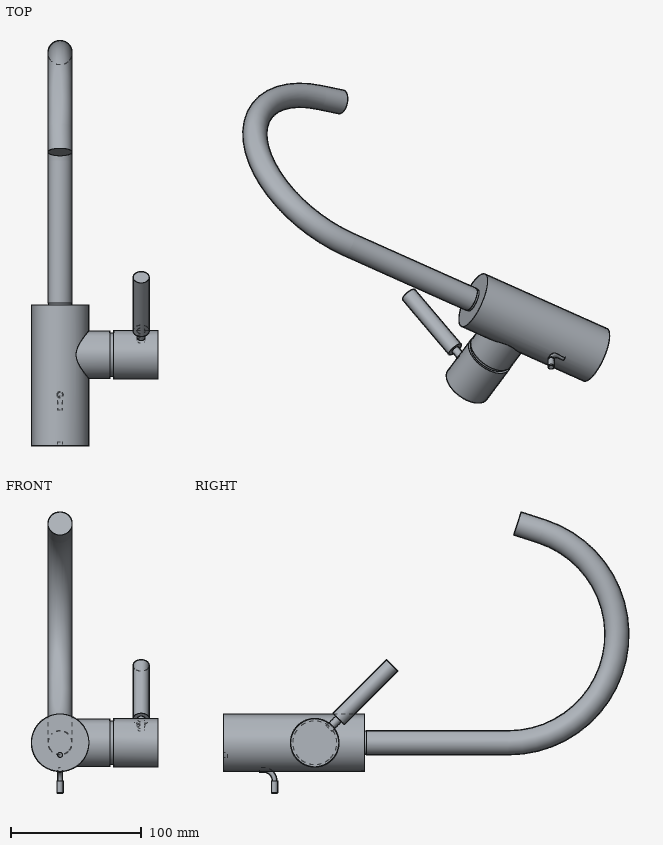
import cadquery as cq
import math

BARREL_RADIUS = 22.0
BARREL_LENGTH = 108.0
VALVE_Y = 69.7
BRANCH_RADIUS = 18.3
BRANCH_END_X = 38.0
INLET_HOLE_RADIUS = 2.0
INLET_HOLE_Z = -9.3
INLET_HOLE_DEPTH = 3.0

SPOUT_RADIUS = 9.3
SEAT_RADIUS = 9.0
SEAT_HEIGHT = 1.5
OVERALL_LENGTH = 310.0
BEND_RADIUS = 82.8
BEND_TOP_TILT = 18.0
OUTLET_LENGTH = 19.8

NECK_RADIUS = 16.7
CAP_RADIUS = 18.5
CAP_START_X = 41.0
CAP_END_X = 75.0

LEVER_X = 62.0
LEVER_TILT = 45.0
HANDLE_RADIUS = 6.2
HANDLE_START = 25.7
HANDLE_END = 83.7
STEM_RADIUS = 3.0
STEM_START = 15.5

DRAIN_Y = 39.0
DRAIN_TUBE_RADIUS = 2.0
DRAIN_BEND_RADIUS = 8.5
DRAIN_BEND_BOTTOM_Z = -29.0
DRAIN_INSERT_LENGTH = 3.0
SLEEVE_RADIUS = 2.5
SLEEVE_BOTTOM_Z = -38.7
SLEEVE_CHAMFER = 0.5


def cylinder(radius, length, start, direction):
    """Solid cylinder from a start point along a direction."""
    return cq.Workplane(cq.Solid.makeCylinder(radius, length, cq.Vector(*start), cq.Vector(*direction)))


def make_drain_tube():
    """Tube that runs forward out of the barrel's underside and bends down into the sleeve."""
    bend_top_z = DRAIN_BEND_BOTTOM_Z + DRAIN_BEND_RADIUS
    mid_offset = DRAIN_BEND_RADIUS * math.sqrt(0.5)
    bend_start_y = DRAIN_Y - DRAIN_BEND_RADIUS
    path = (
        cq.Workplane("YZ")
        .moveTo(bend_start_y - DRAIN_INSERT_LENGTH, bend_top_z)
        .lineTo(bend_start_y, bend_top_z)
        .threePointArc(
            (bend_start_y + mid_offset, DRAIN_BEND_BOTTOM_Z + mid_offset),
            (DRAIN_Y, DRAIN_BEND_BOTTOM_Z),
        )
    )
    profile_plane = cq.Plane((0, bend_start_y - DRAIN_INSERT_LENGTH, bend_top_z), (1, 0, 0), (0, 1, 0))
    return cq.Workplane(profile_plane).circle(DRAIN_TUBE_RADIUS).sweep(path)


def make_housing(drain_tube):
    """Barrel and side branch, with a small front hole and a recess for the drain tube."""
    barrel = cylinder(BARREL_RADIUS, BARREL_LENGTH, (0, 0, 0), (0, 1, 0))
    branch = cylinder(BRANCH_RADIUS, BRANCH_END_X, (0, VALVE_Y, 0), (1, 0, 0))
    inlet_hole = cylinder(INLET_HOLE_RADIUS, INLET_HOLE_DEPTH, (0, 0, INLET_HOLE_Z), (0, 1, 0))
    return barrel.union(branch).cut(inlet_hole).cut(drain_tube)


def make_seat_ring():
    """Narrow disc between the barrel and the spout."""
    return cylinder(SEAT_RADIUS, SEAT_HEIGHT, (0, BARREL_LENGTH, 0), (0, 1, 0))


def make_spout():
    """Round bar: straight run, long bend and short straight outlet."""
    start_y = BARREL_LENGTH + SEAT_HEIGHT
    bend_y = OVERALL_LENGTH - SPOUT_RADIUS - BEND_RADIUS
    tilt = math.radians(BEND_TOP_TILT)
    end_y = bend_y + BEND_RADIUS * math.sin(tilt)
    end_z = BEND_RADIUS * (1 + math.cos(tilt))
    path = (
        cq.Workplane("YZ")
        .moveTo(start_y, 0)
        .lineTo(bend_y, 0)
        .threePointArc((bend_y + BEND_RADIUS, BEND_RADIUS), (end_y, end_z))
        .lineTo(end_y - OUTLET_LENGTH * math.cos(tilt), end_z + OUTLET_LENGTH * math.sin(tilt))
    )
    profile_plane = cq.Plane((0, start_y, 0), (1, 0, 0), (0, 1, 0))
    return cq.Workplane(profile_plane).circle(SPOUT_RADIUS).sweep(path)


def make_neck_ring():
    """Narrow disc between the side branch and the valve cap."""
    return cylinder(NECK_RADIUS, CAP_START_X - BRANCH_END_X, (BRANCH_END_X, VALVE_Y, 0), (1, 0, 0))


def make_lever():
    """Handle and thinner stem on one axis through the valve axis."""
    tilt = math.radians(LEVER_TILT)
    direction = (0, math.cos(tilt), math.sin(tilt))

    def rod(radius, start, end):
        start_point = (LEVER_X, VALVE_Y + start * direction[1], start * direction[2])
        return cylinder(radius, end - start, start_point, direction)

    stem = rod(STEM_RADIUS, STEM_START, HANDLE_START)
    handle = rod(HANDLE_RADIUS, HANDLE_START, HANDLE_END)
    return stem.union(handle)


def make_cap(lever):
    """Valve cap with a socket for the lever stem."""
    cap = cylinder(CAP_RADIUS, CAP_END_X - CAP_START_X, (CAP_START_X, VALVE_Y, 0), (1, 0, 0))
    return cap.cut(lever)


def make_sleeve():
    """Short round end piece below the drain tube, chamfered at the bottom."""
    length = DRAIN_BEND_BOTTOM_Z - SLEEVE_BOTTOM_Z
    sleeve = cylinder(SLEEVE_RADIUS, length, (0, DRAIN_Y, SLEEVE_BOTTOM_Z), (0, 0, 1))
    return sleeve.faces("<Z").chamfer(SLEEVE_CHAMFER)


drain_tube = make_drain_tube()
housing = make_housing(drain_tube)
seat_ring = make_seat_ring()
spout = make_spout()
neck_ring = make_neck_ring()
lever = make_lever()
cap = make_cap(lever)
sleeve = make_sleeve()

result = cq.Compound.makeCompound([
    housing.solids().val(),
    seat_ring.solids().val(),
    spout.solids().val(),
    neck_ring.solids().val(),
    cap.solids().val(),
    lever.solids().val(),
    drain_tube.solids().val(),
    sleeve.solids().val(),
])